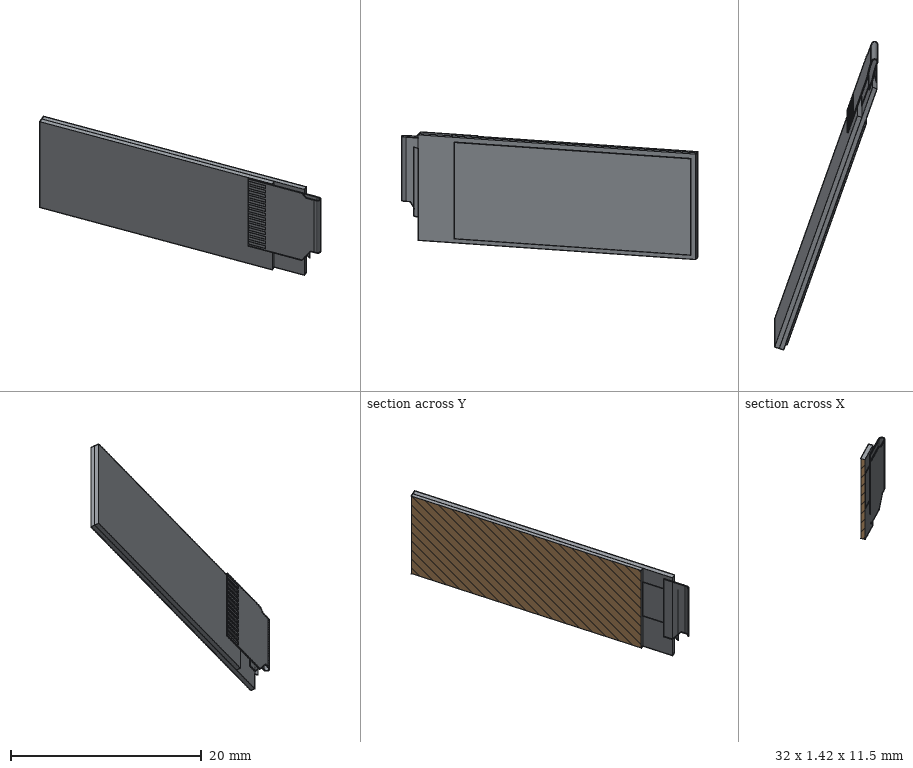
import cadquery as cq

panel_height = 11.5
rear_glass_length = 30.0
front_glass_length = 26.55
glass_thickness = 0.5

polarizer_start = 0.5
polarizer_end = 26.05
polarizer_margin = 0.5
polarizer_thickness = 0.21

total_length = 32.0
tail_front = -0.71
flex_thickness = 0.1
cover_thickness = 0.02
flex_bond_start = 29.0
tail_free_end = 23.85
cover_end = 31.42
outer_radius = -tail_front / 2 - cover_thickness
inner_radius = outer_radius - flex_thickness
bend_x = total_length - outer_radius
bend_y = tail_front / 2

tail_bottom = 2.5
bend_bottom = 4.0
bend_top = 11.0
bottom_taper_start = 30.0
bottom_taper_end = 31.0
top_taper_start = 30.0
top_taper_end = 30.5

contact_count = 14
contact_pitch = 0.62
contact_width = 0.35
contact_length = 2.0

chip_thickness = 0.06
chip_bottom = 4.5
chip_top = 9.5

glue_length = 0.64
glue_top = 10.0
glue_height = 0.45
glue_thickness = 0.05


def block(x0, x1, y0, y1, z0, z1):
    """Rectangular block between two opposite corners."""
    return cq.Workplane("XY").box(x1 - x0, y1 - y0, z1 - z0, centered=False).translate((x0, y0, z0))


def trim_to_tail(body):
    """Cut a full-height body to the outline of the tail, whose rear leg stands lower than its front leg."""
    outline = (
        cq.Workplane("XZ")
        .moveTo(tail_free_end, tail_bottom)
        .lineTo(bottom_taper_start, tail_bottom)
        .lineTo(bottom_taper_end, bend_bottom)
        .lineTo(total_length, bend_bottom)
        .lineTo(total_length, bend_top)
        .lineTo(top_taper_end, bend_top)
        .lineTo(top_taper_start, panel_height)
        .lineTo(tail_free_end, panel_height)
        .close()
        .extrude(-tail_front, both=True)
    )
    above_rear_leg = block(tail_free_end, total_length, bend_y, 0, bend_top, panel_height)
    return body.intersect(outline).cut(above_rear_leg)


def make_flex():
    """Strip folded through a half circle."""
    rear_outer = bend_y + outer_radius
    rear_inner = bend_y + inner_radius
    front_inner = bend_y - inner_radius
    front_outer = bend_y - outer_radius
    strip = (
        cq.Workplane("XY")
        .moveTo(flex_bond_start, rear_outer)
        .lineTo(bend_x, rear_outer)
        .threePointArc((bend_x + outer_radius, bend_y), (bend_x, front_outer))
        .lineTo(tail_free_end, front_outer)
        .lineTo(tail_free_end, front_inner)
        .lineTo(bend_x, front_inner)
        .threePointArc((bend_x + inner_radius, bend_y), (bend_x, rear_inner))
        .lineTo(flex_bond_start, rear_inner)
        .close()
        .extrude(panel_height)
    )
    return trim_to_tail(strip)


def make_rear_cover():
    """Cover film on the rear leg, between the flex and the glass ledge."""
    return trim_to_tail(block(flex_bond_start, cover_end, -cover_thickness, 0, 0, panel_height))


def make_front_cover():
    """Cover film on the front leg, slotted from its free end."""
    cover_back = tail_front + cover_thickness
    cover = trim_to_tail(block(tail_free_end, cover_end, tail_front, cover_back, 0, panel_height))
    middle = (tail_bottom + panel_height) / 2
    for i in range(contact_count):
        z = middle + (i - (contact_count - 1) / 2) * contact_pitch
        slot = block(tail_free_end, tail_free_end + contact_length, tail_front, cover_back,
                     z - contact_width / 2, z + contact_width / 2)
        cover = cover.cut(slot)
    return cover


def make_glue_film():
    """Thin slope from the end face of the rear glass down to the back of the tail."""
    x0 = rear_glass_length
    x1 = rear_glass_length + glue_length
    return (
        cq.Workplane("XY", origin=(0, 0, tail_bottom))
        .moveTo(x0, glue_height)
        .lineTo(x1, glue_thickness)
        .lineTo(x1, 0)
        .lineTo(x1 - glue_thickness, 0)
        .lineTo(x0, glue_height - glue_thickness)
        .close()
        .extrude(glue_top - tail_bottom)
    )


rear_glass = block(0, rear_glass_length, 0, glass_thickness, 0, panel_height)
front_glass = block(0, front_glass_length, -glass_thickness, 0, 0, panel_height)
polarizer = block(
    polarizer_start, polarizer_end,
    glass_thickness, glass_thickness + polarizer_thickness,
    polarizer_margin, panel_height - polarizer_margin,
)
driver_chip = block(front_glass_length, flex_bond_start, -chip_thickness, 0, chip_bottom, chip_top)
flex = make_flex()
rear_cover = make_rear_cover()
front_cover = make_front_cover()
glue_film = make_glue_film()

bodies = [rear_glass, front_glass, polarizer, driver_chip, flex, rear_cover, front_cover, glue_film]
result = cq.Compound.makeCompound([body.val() for body in bodies])